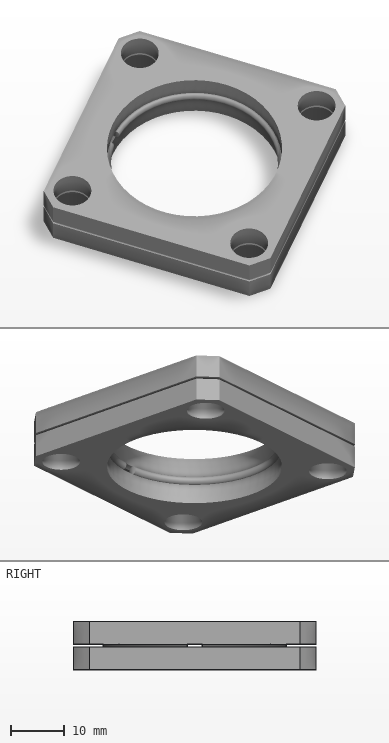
import cadquery as cq

side = 45.0
height = 9.0
gap = 0.45
plate_thickness = (height - gap) / 2
corner_chamfer = 3.0

bore_diameter = 32.5
hole_diameter = 7.0
hole_spacing = 35.1

ring_section_diameter = 1.55
ring_split_width = 2.7


def plate(bottom):
    """Square plate with chamfered corners, a central bore and four corner holes."""
    return (
        cq.Workplane("XY", origin=(0, 0, bottom))
        .rect(side, side)
        .extrude(plate_thickness)
        .edges("|Z")
        .chamfer(corner_chamfer)
        .faces(">Z")
        .workplane()
        .hole(bore_diameter)
        .faces(">Z")
        .workplane()
        .rect(hole_spacing, hole_spacing, forConstruction=True)
        .vertices()
        .hole(hole_diameter)
    )


def full_ring():
    """Complete round-section ring around the Z axis."""
    bore_radius = bore_diameter / 2
    return cq.Workplane("XY").add(cq.Solid.makeTorus(bore_radius, ring_section_diameter / 2))


def split_ring():
    """Ring cut into two halves by a straight slot along X."""
    slot = cq.Workplane("XY").box(side, ring_split_width, ring_section_diameter)
    return full_ring().cut(slot)


lower_plate = plate(-height / 2).cut(full_ring())
upper_plate = plate(gap / 2).cut(full_ring())

result = lower_plate.union(upper_plate).union(split_ring())